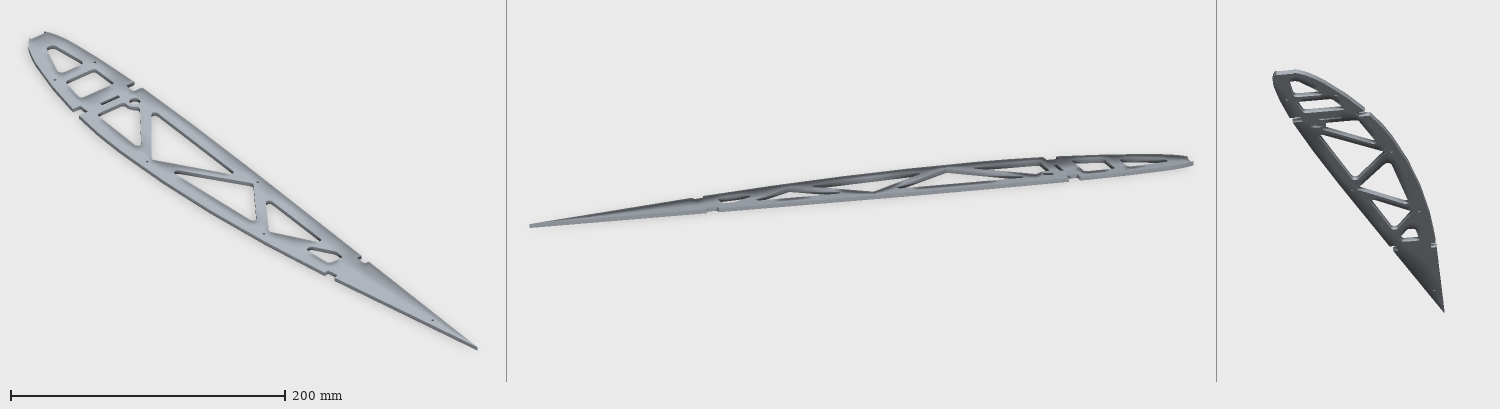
import cadquery as cq

CHORD = 512.5
DEPTH = 62.0
THICKNESS = 3.0

NOSE_TOP = 49.0
NOSE_BOTTOM = 36.0
NOSE_RECESS = 2.0

TAIL_Y = 51.5
UPPER_SURFACE = [
    (0, NOSE_TOP), (8.0, 53.5), (21.0, 56.5), (44.0, 59.0), (64.0, 60.5), (115.5, DEPTH),
    (239.0, 60.5), (339.5, 57.5), (434.5, 54.5), (CHORD, TAIL_Y),
]
LOWER_TAIL_START = (376.5, 23.5)
LOWER_SURFACE = [
    LOWER_TAIL_START, (341.0, 17.0), (291.0, 9.0), (233.5, 3.0), (164, 0), (125.0, 1.0),
    (90.0, 5.0), (58.5, 11.5), (44.0, 15.0), (16.5, 24.0), (5.5, 30.0), (0, NOSE_BOTTOM),
]

NOTCH_WIDTH = 9.0
MAIN_NOTCH_X = 96.0
MAIN_NOTCH_FLOORS = (12.0, 54.0)
REAR_NOTCH_X = 372.5
REAR_NOTCH_TOP_FLOOR = 52.0
REAR_NOTCH_BOTTOM_FLOOR = 26.5
REAR_NOTCH_TILT = 12
NOTCH_CUTTER_HEIGHT = 15.5

SLOT_CENTER = (99.0, 33.5)
SLOT_WIDTH = 3.0
SLOT_LENGTH = 17.0

TUBE_CENTER = (111.0, 46.5)
TUBE_RADIUS = 4.0
RING_RADIUS = 7.0

PIN_RADIUS = 1.0
PIN_CENTERS = [(54.0, 54.5), (54.0, 17.5), (177.0, 6.5), (247.5, 54.5), (302.0, 17.5), (464.5, 47.0)]

WINDOW_RADIUS = 2.5
NOSE_WINDOW_RADIUS = 3.5
NOSE_WINDOW = [(17.5, 44.0), (50.0, 48.0), (50.0, 24.0), (17.5, 37.5)]
SPAR_WINDOW = [(60.0, 49.0), (84.0, 49.0), (84.0, 17.5), (60.0, 22.0)]
TRUSS_WINDOWS = [
    [(125.5, 50.5), (233.0, 48.5), (177.0, 11.0)],
    [(247.0, 50.5), (289.5, 21.0), (192.5, 12.5)],
    [(265.0, 47.5), (341.0, 46.0), (302.0, 22.0)],
]
TAIL_WINDOW = [(336.0, 29.0), (336.0, 35.0), (352.5, 45.0), (361.0, 45.0), (361.0, 32.0)]

TUBE_WINDOW_LEFT = 107.0
TUBE_WINDOW = [
    (TUBE_WINDOW_LEFT, TUBE_CENTER[1]), (117.0, TUBE_CENTER[1]), (163.5, 12.5), (TUBE_WINDOW_LEFT, 14.5),
]


def plate(sketch):
    """Extrude a closed outline through the sheet thickness."""
    return sketch.extrude(THICKNESS)


def disc(center, radius):
    return plate(cq.Workplane().center(*center).circle(radius))


def block(center, width, height):
    return plate(cq.Workplane().center(*center).rect(width, height))


def polygon(corners):
    return plate(cq.Workplane().polyline(corners).close())


def rounded(cutter, radius=WINDOW_RADIUS):
    return cutter.edges("|Z").fillet(radius)


def airfoil():
    outline = (
        cq.Workplane()
        .moveTo(0, NOSE_TOP)
        .spline(UPPER_SURFACE[1:], includeCurrent=True)
        .lineTo(*LOWER_TAIL_START)
        .spline(LOWER_SURFACE[1:], includeCurrent=True)
        .lineTo(NOSE_RECESS, NOSE_BOTTOM)
        .lineTo(NOSE_RECESS, NOSE_TOP)
        .close()
    )
    return plate(outline)


def cut_spar_notches(rib):
    """Cut each notch from its floor outward; an angle of 0 opens upward and 180 downward."""
    main_bottom_floor, main_top_floor = MAIN_NOTCH_FLOORS
    notches = [
        (MAIN_NOTCH_X, main_top_floor, 0),
        (MAIN_NOTCH_X, main_bottom_floor, 180),
        (REAR_NOTCH_X, REAR_NOTCH_TOP_FLOOR, 0),
        (REAR_NOTCH_X, REAR_NOTCH_BOTTOM_FLOOR, 180 + REAR_NOTCH_TILT),
    ]
    cutter = block((0, NOTCH_CUTTER_HEIGHT / 2), NOTCH_WIDTH, NOTCH_CUTTER_HEIGHT)
    for x, floor, angle in notches:
        rib = rib.cut(cutter.rotate((0, 0, 0), (0, 0, 1), angle).translate((x, floor, 0)))
    return rib


def cut_windows(rib):
    for corners in [SPAR_WINDOW, *TRUSS_WINDOWS, TAIL_WINDOW]:
        rib = rib.cut(rounded(polygon(corners)))
    rib = rib.cut(rounded(polygon(NOSE_WINDOW), NOSE_WINDOW_RADIUS))
    tube_window = polygon(TUBE_WINDOW).cut(disc(TUBE_CENTER, RING_RADIUS))
    return rib.cut(rounded(tube_window))


def cut_holes(rib):
    rib = rib.cut(disc(TUBE_CENTER, TUBE_RADIUS))
    for center in PIN_CENTERS:
        rib = rib.cut(disc(center, PIN_RADIUS))
    return rib.cut(block(SLOT_CENTER, SLOT_WIDTH, SLOT_LENGTH))


result = cut_holes(cut_windows(cut_spar_notches(airfoil())))